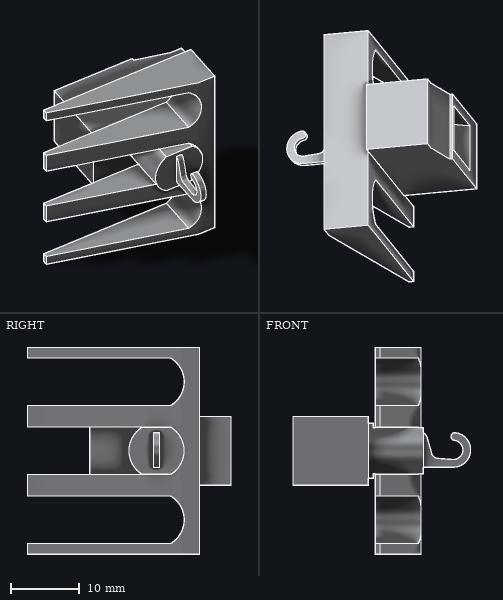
import cadquery as cq
import math


housing_depth = 10.95
housing_length = 20.5
housing_height = 10.0
housing_back_y = 10.8
housing_front_y = housing_back_y - housing_length
recess_depth = 1.8
recess_length = 1.8
taper_front_y = 3.55
taper_step = 0.4

window_back_y = 2.8
window_front_y = -6.0
window_height = 6.85
window_depth = 3.1
window_back_slope = 45
window_front_slope = 30
window_back_run = window_depth * math.tan(math.radians(window_back_slope))
window_front_run = window_depth * math.tan(math.radians(window_front_slope))

shaft_radius = 4.0
shaft_length = 8.0
shaft_end_x = housing_depth + shaft_length
flats_distance = 6.7
collar_length = 0.75

fork_gap = 1.0
fork_start_x = housing_depth + fork_gap
fork_height = 30.0
fork_length = 24.95
fork_back_y = 6.25
fork_front_y = fork_back_y - fork_length
fork_tip_thickness = 0.7
fork_thickness = 6.65
fork_taper_angle = 15
slot_width = 6.85
slot_pitch = 10.0

hook_thickness = 0.9
hook_reach = 6.85
hook_outer_radius = 2.53
hook_inner_radius = 1.38
hook_bottom_z = -2.4
hook_center_x = hook_reach - hook_outer_radius
hook_center_z = hook_bottom_z + hook_outer_radius
hook_tip_angle = 83


def make_housing():
    body = (
        cq.Workplane("XY")
        .moveTo(0, housing_front_y)
        .lineTo(housing_depth, housing_front_y)
        .lineTo(housing_depth, housing_back_y)
        .lineTo(recess_depth, housing_back_y)
        .lineTo(recess_depth, housing_back_y - recess_length)
        .lineTo(taper_step, taper_front_y)
        .lineTo(0, taper_front_y)
        .close()
        .extrude(housing_height / 2, both=True)
    )
    window = (
        cq.Workplane("XY")
        .moveTo(0, window_back_y)
        .lineTo(window_depth, window_back_y - window_back_run)
        .lineTo(window_depth, window_front_y + window_front_run)
        .lineTo(0, window_front_y)
        .close()
        .extrude(window_height / 2, both=True)
    )
    return body.cut(window)


def make_shaft():
    collar = cq.Workplane("YZ", origin=(housing_depth, 0, 0)).circle(shaft_radius).extrude(collar_length)
    half_flat = flats_distance / 2
    half_chord = math.sqrt(shaft_radius**2 - half_flat**2)
    flatted = (
        cq.Workplane("YZ", origin=(housing_depth, 0, 0))
        .moveTo(-half_chord, -half_flat)
        .lineTo(half_chord, -half_flat)
        .threePointArc((shaft_radius, 0), (half_chord, half_flat))
        .lineTo(-half_chord, half_flat)
        .threePointArc((-shaft_radius, 0), (-half_chord, -half_flat))
        .close()
        .extrude(shaft_length)
    )
    return collar.union(flatted)


def make_slot(center_z):
    """Slot open towards -Y whose closed end follows the shaft radius."""
    half_width = slot_width / 2
    arc_start_y = math.sqrt(shaft_radius**2 - half_width**2)
    return (
        cq.Workplane("YZ", origin=(fork_start_x, 0, center_z))
        .moveTo(fork_front_y, -half_width)
        .lineTo(arc_start_y, -half_width)
        .threePointArc((shaft_radius, 0), (arc_start_y, half_width))
        .lineTo(fork_front_y, half_width)
        .close()
        .extrude(fork_thickness)
    )


def make_fork():
    taper_run = (fork_thickness - fork_tip_thickness) / math.tan(math.radians(fork_taper_angle))
    fork = (
        cq.Workplane("XY")
        .moveTo(fork_start_x, fork_front_y)
        .lineTo(fork_start_x + fork_tip_thickness, fork_front_y)
        .lineTo(fork_start_x + fork_thickness, fork_front_y + taper_run)
        .lineTo(fork_start_x + fork_thickness, fork_back_y)
        .lineTo(fork_start_x, fork_back_y)
        .close()
        .extrude(fork_height / 2, both=True)
    )
    for step in (-1, 0, 1):
        fork = fork.cut(make_slot(step * slot_pitch))
    return fork


def curl_point(radius, angle):
    """Point on the hook's curl at an angle in degrees from +X."""
    turn = math.radians(angle)
    return (hook_center_x + radius * math.cos(turn), hook_center_z + radius * math.sin(turn))


def make_hook():
    tip_middle_radius = (hook_outer_radius + hook_inner_radius) / 2
    tip_radius = (hook_outer_radius - hook_inner_radius) / 2
    tip_base = curl_point(tip_middle_radius, hook_tip_angle)
    tip_turn = math.radians(hook_tip_angle + 90)
    tip_end = (
        tip_base[0] + tip_radius * math.cos(tip_turn),
        tip_base[1] + tip_radius * math.sin(tip_turn),
    )
    shoulder_top = (0, 2.6)
    shoulder_middle = (0.35, 2.3)
    shoulder_end = (0.55, 1.9)
    throat_start = (1.17, -0.2)
    throat_end = (2.0, -1.07)
    return (
        cq.Workplane("XZ", origin=(shaft_end_x, 0, 0))
        .moveTo(0, hook_bottom_z)
        .lineTo(hook_center_x, hook_bottom_z)
        .threePointArc(curl_point(hook_outer_radius, 0), curl_point(hook_outer_radius, hook_tip_angle))
        .threePointArc(tip_end, curl_point(hook_inner_radius, hook_tip_angle))
        .threePointArc(curl_point(hook_inner_radius, 0), curl_point(hook_inner_radius, -90))
        .lineTo(*throat_end)
        .tangentArcPoint(throat_start, relative=False)
        .lineTo(*shoulder_end)
        .threePointArc(shoulder_middle, shoulder_top)
        .close()
        .extrude(hook_thickness / 2, both=True)
    )


result = make_housing().union(make_shaft()).union(make_fork()).union(make_hook())